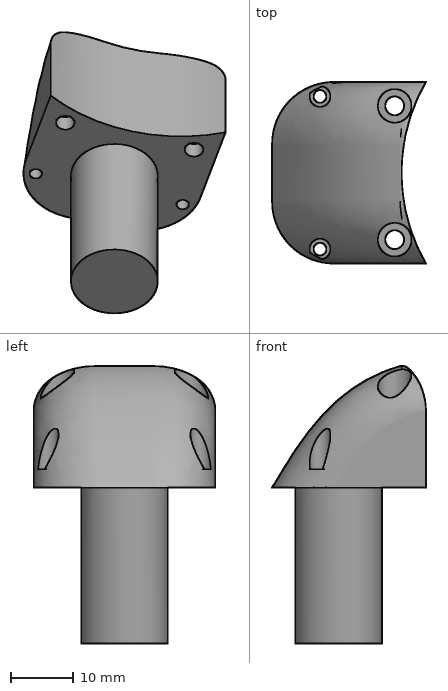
import cadquery as cq
import math

head_width = 29.3
head_length = 24.8
head_height = 19.6
corner_radius = 10.0
back_reach = 20.65
start_angle = 59.5
end_angle = 16.0

waist_length = 20.87
waist_sag = head_length - waist_length
saddle_radius = ((head_width / 2) ** 2 + waist_sag ** 2) / (2 * waist_sag)

peg_diameter = 14.0
peg_x = 10.75
total_height = 44.7
peg_length = total_height - head_height

small_screw = (7.75, 12.3, 2.0, 3.35)
large_screw = (19.75, 10.77, 3.0, 5.4)
seat_height = 2.95


def slope_direction(angle):
    """Unit vector in the XZ plane at the given slope in degrees."""
    return cq.Vector(math.cos(math.radians(angle)), 0, math.sin(math.radians(angle)))


def make_head():
    back_curve = cq.Edge.makeSpline(
        [cq.Vector(0, 0, 0), cq.Vector(back_reach, 0, head_height)],
        tangents=[slope_direction(start_angle), slope_direction(end_angle)],
    )
    footprint = (
        cq.Workplane("XY")
        .rect(head_length, head_width)
        .extrude(head_height)
        .edges("|Z and <X")
        .fillet(corner_radius)
        .translate((head_length / 2, 0, 0))
        .faces("<Z")
        .wires()
    )
    swept = cq.Workplane(footprint.val()).toPending().sweep(cq.Workplane(back_curve))
    toward_end = cq.DirectionMinMaxSelector(cq.Vector(1, 0, 1), True)
    end_face = swept.faces("%PLANE").faces(toward_end).val()
    nose_run = cq.Vector(head_length - back_reach, 0, 0)
    nose = cq.Workplane(cq.Solid.extrudeLinear(end_face, nose_run))
    saddle = (
        cq.Workplane("XY")
        .center(waist_length + saddle_radius, 0)
        .circle(saddle_radius)
        .extrude(head_height)
    )
    envelope = cq.Workplane("XY").box(
        head_length, head_width, head_height, centered=(False, True, False)
    )
    return swept.intersect(envelope).union(nose.intersect(envelope)).cut(saddle)


def make_peg():
    return cq.Workplane("XY").center(peg_x, 0).circle(peg_diameter / 2).extrude(-peg_length)


def make_screw_cutter(x, offset, hole_diameter, seat_diameter):
    """Mirrored pair of vertical through holes with deep counterbores."""
    centres = [(x, -offset), (x, offset)]
    holes = cq.Workplane("XY").pushPoints(centres).circle(hole_diameter / 2).extrude(head_height)
    seats = (
        cq.Workplane("XY", origin=(0, 0, seat_height))
        .pushPoints(centres)
        .circle(seat_diameter / 2)
        .extrude(head_height)
    )
    return holes.union(seats)


result = make_head().union(make_peg())
for screw in (small_screw, large_screw):
    result = result.cut(make_screw_cutter(*screw))